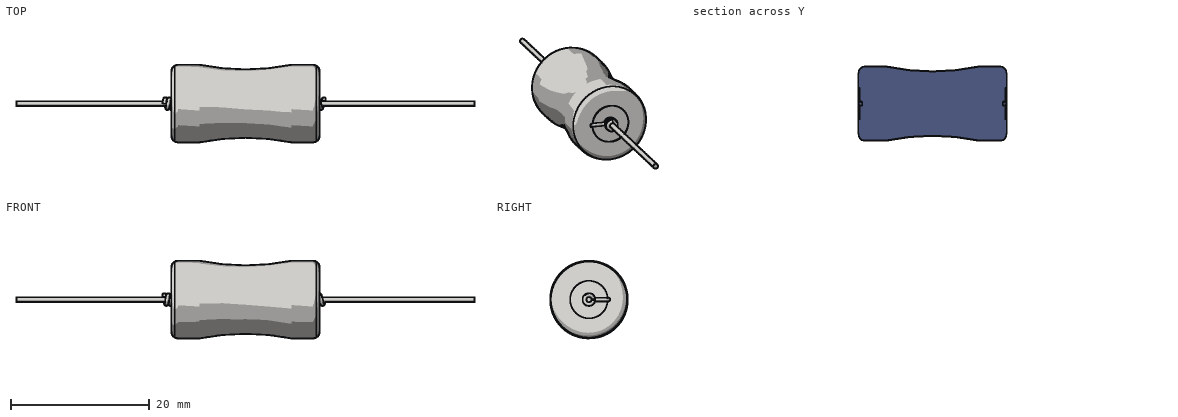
import cadquery as cq
import math

total_length = 66.4
sleeve_length = 21.5
sleeve_radius = 5.65
waist_radius = 5.0
straight_end_x = 6.65
end_round = 1.0
sleeve_thickness = 0.1

lead_radius = 0.365
lead_insertion = 3.3
wire_radius = 0.28
wrap_clearance = 0.005
left_turns = 2.25
left_pitch = 0.585
right_turns = 1
right_pitch = 0.9

recess_radius = 2.7
recess_depth = 0.2
wire_depth = 0.3
wire_hole_y = 2.8
wire_hole_depth = 2.0
bend_radius = 0.4

half_length = sleeve_length / 2
wrap_radius = lead_radius + wire_radius + wrap_clearance
wire_start_x = half_length - wire_depth

x_axis = ((0, 0, 0), (1, 0, 0))


def make_waisted_bar(radius_reduction):
    """Solid bar with an arc-shaped waist, as long as the sleeve."""
    end_radius = sleeve_radius - radius_reduction
    profile = (
        cq.Workplane("XY")
        .moveTo(-half_length, 0)
        .lineTo(-half_length, end_radius)
        .lineTo(-straight_end_x, end_radius)
        .threePointArc((0, waist_radius - radius_reduction), (straight_end_x, end_radius))
        .lineTo(half_length, end_radius)
        .lineTo(half_length, 0)
        .close()
    )
    return profile.revolve(360, *x_axis)


def make_rounded_envelope():
    """Cylinder with rounded end edges that trims both sleeve and core."""
    return (
        cq.Workplane("YZ", origin=(-half_length, 0, 0))
        .circle(sleeve_radius)
        .extrude(sleeve_length)
        .edges()
        .fillet(end_round)
    )


def x_cylinder(radius, start_x, end_x, y=0):
    return cq.Workplane("YZ", origin=(start_x, y, 0)).circle(radius).extrude(end_x - start_x)


def make_sleeve():
    inside = make_waisted_bar(sleeve_thickness)
    return make_waisted_bar(0).cut(inside).intersect(make_rounded_envelope())


def make_core(wire_ends):
    """Core with recessed end faces, lead sockets and channels that fit the wire."""
    core = make_waisted_bar(sleeve_thickness).intersect(make_rounded_envelope())
    for side in (-1, 1):
        face_x = side * half_length
        recess_floor_x = side * (half_length - recess_depth)
        core = core.cut(x_cylinder(recess_radius, recess_floor_x, face_x))
        core = core.cut(x_cylinder(lead_radius, side * (half_length - lead_insertion), face_x))
        wire_end_x = side * (half_length - wire_hole_depth)
        core = core.cut(x_cylinder(wire_radius, wire_end_x, face_x, wire_hole_y))
    for wire in wire_ends:
        core = core.cut(wire)
    return core


def make_lead(side):
    return x_cylinder(lead_radius, side * (half_length - lead_insertion), side * total_length / 2)


def make_wire_end(side, turns, pitch):
    """Wire leaving its core hole, bending toward the lead and coiling round it."""
    bend_middle = bend_radius * (1 - math.sqrt(0.5))
    lead_in_path = (
        cq.Workplane("XY")
        .moveTo(half_length - wire_hole_depth, wire_hole_y)
        .lineTo(wire_start_x - bend_radius, wire_hole_y)
        .threePointArc(
            (wire_start_x - bend_middle, wire_hole_y - bend_middle),
            (wire_start_x, wire_hole_y - bend_radius),
        )
        .lineTo(wire_start_x, wrap_radius)
    )
    lead_in = (
        cq.Workplane("YZ", origin=(half_length - wire_hole_depth, wire_hole_y, 0))
        .circle(wire_radius)
        .sweep(lead_in_path)
    )

    helix = cq.Wire.makeHelix(pitch, turns * pitch, wrap_radius)
    helix_start = cq.Plane(
        origin=(wrap_radius, 0, 0),
        xDir=(1, 0, 0),
        normal=(0, 2 * math.pi * wrap_radius, pitch),
    )
    coil = (
        cq.Workplane(helix_start)
        .circle(wire_radius)
        .sweep(cq.Workplane(obj=helix), isFrenet=True)
        .rotate((0, 0, 0), (0, 1, 0), 90)
        .rotate(*x_axis, 90)
        .translate((wire_start_x, 0, 0))
    )

    corner = cq.Workplane("XY").sphere(wire_radius).translate((wire_start_x, wrap_radius, 0))
    wire = lead_in.union(corner).union(coil).cut(make_lead(1))
    return wire if side > 0 else wire.mirror("YZ")


sleeve = make_sleeve()
leads = [make_lead(side) for side in (-1, 1)]
wire_ends = [
    make_wire_end(-1, left_turns, left_pitch),
    make_wire_end(1, right_turns, right_pitch),
]
core = make_core(wire_ends)

result = cq.Compound.makeCompound(
    [
        sleeve.val(),
        core.val(),
        *[lead.val() for lead in leads],
        *[wire.val() for wire in wire_ends],
    ]
)